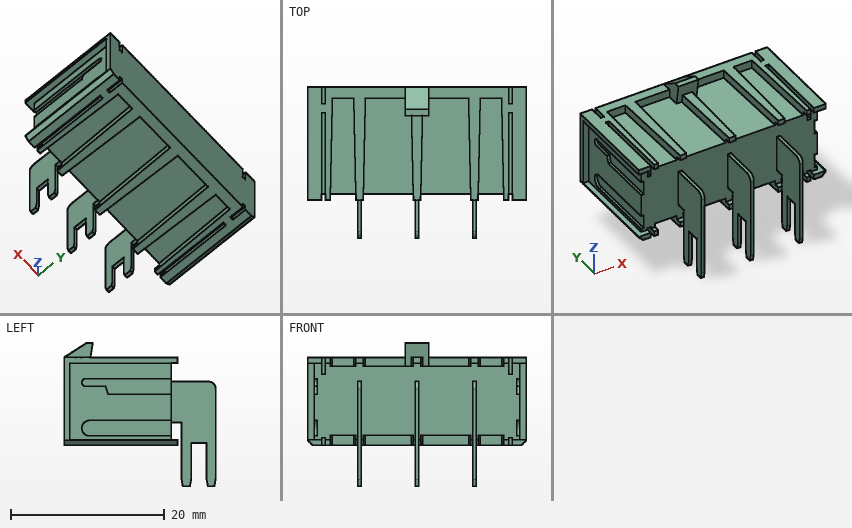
import cadquery as cq

WIDTH = 28.57
HEIGHT = 11.5
OVERALL_HEIGHT = 18.72
PLATE_DEPTH = 14.8
CORE_DEPTH = 14.0
PLATE_THICKNESS = 0.75
SIDE_RECESS = 0.84
BOTTOM_CHAMFER = 0.65

TOP_POCKET_DEPTH = 1.2
BOTTOM_POCKET_DEPTH = 1.3
POCKET_REAR = 1.5
POCKET_HALF_REAR = 11.05
RIB_WIDTH_REAR = 1.52
RIB_WIDTH_FRONT = 0.96
RIB_TAPER = (RIB_WIDTH_REAR - RIB_WIDTH_FRONT) / 2
POCKET_HALF_FRONT = POCKET_HALF_REAR + RIB_TAPER

SLIT_X = 12.2
SLIT_WIDTH = 0.5
TOP_SLIT_DEPTH = 2.25
BOTTOM_SLIT_DEPTH = 1.0
REAR_SLIT_END = 2.2
FRONT_SLIT_START = 3.4

GROOVE_DEPTH = 0.4
GROOVE_REAR = 2.3
GROOVE_WIDTH = 2.04
UPPER_GROOVE_TOP = 8.72
UPPER_GROOVE_TIP_WIDTH = GROOVE_WIDTH / 2
UPPER_STEP_START = 5.4
UPPER_STEP_END = 5.73
LOWER_GROOVE_TOP = 3.26

LATCH_WIDTH = 3.07
LATCH_HEIGHT = 1.87
LATCH_CREST_START = 2.9
LATCH_CREST_END = 3.75
LATCH_ROOT_END = 3.25

PIN_PITCH = 7.5
PIN_POSITIONS = (-PIN_PITCH, 0, PIN_PITCH)
PIN_THICKNESS = 0.5
PIN_EMBED = 1.0
PIN_FRONT = 19.79
PIN_TOP = 8.34
PIN_SHOULDER = 2.97
PIN_FORK = 0.3
PIN_BOTTOM = HEIGHT + LATCH_HEIGHT - OVERALL_HEIGHT
PIN_CORNER_RADIUS = 0.95
REAR_LEG_START = 15.3
REAR_LEG_END = 16.6
FRONT_LEG_START = 18.57
TIP_LENGTH = 0.95
TIP_TAPER = 0.17


def block(x_min, x_max, depth_min, depth_max, z_min, z_max):
    """Box whose depths are measured forward from the rear face."""
    size = (x_max - x_min, depth_max - depth_min, z_max - z_min)
    return cq.Workplane("XY").box(*size, centered=False).translate((x_min, -depth_max, z_min))


def side_profile():
    """Sketch plane looking along -X: local x is depth from the rear face, local y is height."""
    return cq.Workplane(cq.Plane(origin=(0, 0, 0), xDir=(0, -1, 0), normal=(-1, 0, 0)))


def housing():
    half = WIDTH / 2
    core_half = half - SIDE_RECESS
    body = block(-core_half, core_half, 0, CORE_DEPTH, 0, HEIGHT)
    body = body.union(block(-half, half, 0, PLATE_THICKNESS, 0, HEIGHT))
    for base in (0, HEIGHT - PLATE_THICKNESS):
        body = body.union(block(-half, half, 0, PLATE_DEPTH, base, base + PLATE_THICKNESS))
    for side in (-1, 1):
        bevel = (
            cq.Workplane("XZ")
            .moveTo(side * half, 0)
            .lineTo(side * half, BOTTOM_CHAMFER)
            .lineTo(side * (half - BOTTOM_CHAMFER), 0)
            .close()
            .extrude(PLATE_DEPTH)
        )
        body = body.cut(bevel)
    return body


def pockets(z_min, depth):
    """The open-fronted pockets of one face, with the ribs left standing between them."""
    recess = (
        cq.Workplane("XY", origin=(0, 0, z_min))
        .moveTo(-POCKET_HALF_REAR, -POCKET_REAR)
        .lineTo(POCKET_HALF_REAR, -POCKET_REAR)
        .lineTo(POCKET_HALF_FRONT, -PLATE_DEPTH)
        .lineTo(-POCKET_HALF_FRONT, -PLATE_DEPTH)
        .close()
        .extrude(depth)
    )
    for x in PIN_POSITIONS:
        rib = (
            cq.Workplane("XY", origin=(x, 0, z_min))
            .moveTo(-RIB_WIDTH_REAR / 2, -POCKET_REAR)
            .lineTo(RIB_WIDTH_REAR / 2, -POCKET_REAR)
            .lineTo(RIB_WIDTH_FRONT / 2, -PLATE_DEPTH)
            .lineTo(-RIB_WIDTH_FRONT / 2, -PLATE_DEPTH)
            .close()
            .extrude(depth)
        )
        recess = recess.cut(rib)
    return recess


def slits(x, z_min, z_max):
    """Short rear slit and long front slit in line with each other."""
    x_min = x - SLIT_WIDTH / 2
    x_max = x + SLIT_WIDTH / 2
    rear = block(x_min, x_max, 0, REAR_SLIT_END, z_min, z_max)
    front = block(x_min, x_max, FRONT_SLIT_START, PLATE_DEPTH, z_min, z_max)
    return rear.union(front)


def side_grooves(side):
    """Stepped upper groove and straight lower groove, both round at the rear and open in front."""
    tip_radius = UPPER_GROOVE_TIP_WIDTH / 2
    upper_tip_bottom = UPPER_GROOVE_TOP - UPPER_GROOVE_TIP_WIDTH
    upper_bottom = UPPER_GROOVE_TOP - GROOVE_WIDTH
    upper = (
        side_profile()
        .moveTo(CORE_DEPTH, UPPER_GROOVE_TOP)
        .lineTo(GROOVE_REAR + tip_radius, UPPER_GROOVE_TOP)
        .threePointArc(
            (GROOVE_REAR, UPPER_GROOVE_TOP - tip_radius),
            (GROOVE_REAR + tip_radius, upper_tip_bottom),
        )
        .lineTo(UPPER_STEP_START, upper_tip_bottom)
        .lineTo(UPPER_STEP_END, upper_bottom)
        .lineTo(CORE_DEPTH, upper_bottom)
        .close()
        .extrude(GROOVE_DEPTH / 2, both=True)
    )
    radius = GROOVE_WIDTH / 2
    lower_bottom = LOWER_GROOVE_TOP - GROOVE_WIDTH
    lower = (
        side_profile()
        .moveTo(CORE_DEPTH, LOWER_GROOVE_TOP)
        .lineTo(GROOVE_REAR + radius, LOWER_GROOVE_TOP)
        .threePointArc(
            (GROOVE_REAR, LOWER_GROOVE_TOP - radius),
            (GROOVE_REAR + radius, lower_bottom),
        )
        .lineTo(CORE_DEPTH, lower_bottom)
        .close()
        .extrude(GROOVE_DEPTH / 2, both=True)
    )
    groove_x = WIDTH / 2 - SIDE_RECESS - GROOVE_DEPTH / 2
    return upper.union(lower).translate((side * groove_x, 0, 0))


def latch():
    """Ramped hook rising from the floor of the top pockets."""
    floor = HEIGHT - TOP_POCKET_DEPTH
    crest = HEIGHT + LATCH_HEIGHT
    return (
        side_profile()
        .moveTo(0, floor)
        .lineTo(0, HEIGHT)
        .lineTo(LATCH_CREST_START, crest)
        .lineTo(LATCH_CREST_END, crest)
        .lineTo(LATCH_ROOT_END, floor)
        .close()
        .extrude(LATCH_WIDTH / 2, both=True)
    )


def pin_leg(start, end):
    """One leg with a tapered tip, reaching from the blade underside to the bottom."""
    tip_top = PIN_BOTTOM + TIP_LENGTH
    return (
        side_profile()
        .moveTo(start, PIN_SHOULDER)
        .lineTo(start, tip_top)
        .lineTo(start + TIP_TAPER, PIN_BOTTOM)
        .lineTo(end - TIP_TAPER, PIN_BOTTOM)
        .lineTo(end, tip_top)
        .lineTo(end, PIN_SHOULDER)
        .close()
        .extrude(PIN_THICKNESS / 2, both=True)
    )


def pin():
    """Flat terminal: a blade leaving the core, forking into two legs."""
    half = PIN_THICKNESS / 2
    blade = block(-half, half, CORE_DEPTH - PIN_EMBED, PIN_FRONT, PIN_SHOULDER, PIN_TOP)
    blade = blade.edges("|X and >Z and <Y").fillet(PIN_CORNER_RADIUS)
    web = block(-half, half, REAR_LEG_START, PIN_FRONT, PIN_FORK, PIN_SHOULDER)
    rear_leg = pin_leg(REAR_LEG_START, REAR_LEG_END)
    front_leg = pin_leg(FRONT_LEG_START, PIN_FRONT)
    return blade.union(web).union(rear_leg).union(front_leg).clean()


result = housing()
result = result.cut(pockets(HEIGHT - TOP_POCKET_DEPTH, TOP_POCKET_DEPTH))
result = result.cut(pockets(0, BOTTOM_POCKET_DEPTH))
for end in (-1, 1):
    result = result.cut(slits(end * SLIT_X, HEIGHT - TOP_SLIT_DEPTH, HEIGHT))
    result = result.cut(slits(end * SLIT_X, 0, BOTTOM_SLIT_DEPTH))
    result = result.cut(side_grooves(end))
result = result.union(latch())
for pin_x in PIN_POSITIONS:
    result = result.union(pin().translate((pin_x, 0, 0)))